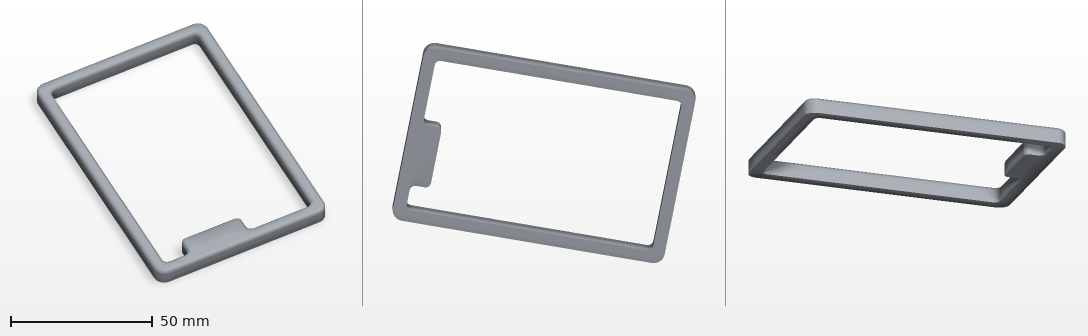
import cadquery as cq

length = 97.6
width = 67.4
height = 6.0
outer_corner_radius = 4.0

window_length = 88.5
window_width = 58.5
window_corner_radius = 2.0

tab_reach = 6.9
tab_width = 23.6
tab_center_y = -7.8
tab_corner_radius = 2.0

top_edge_radius = 1.5


def make_window_cutter():
    """Window volume with the tab left out and its vertical corners rounded."""
    tab_tip_x = window_length / 2 - tab_reach

    window = cq.Workplane("XY").box(window_length, window_width, height, centered=(True, True, False))
    tab = (
        cq.Workplane("XY")
        .center(tab_tip_x, tab_center_y)
        .box(tab_reach, tab_width, height, centered=(False, True, False))
    )
    tab_tip_edges = cq.selectors.BoxSelector(
        (tab_tip_x - tab_corner_radius, tab_center_y - tab_width, 0),
        (tab_tip_x + tab_corner_radius, tab_center_y + tab_width, height),
    )
    cutter = window.cut(tab)
    cutter = cutter.edges("|Z").edges(tab_tip_edges).fillet(tab_corner_radius)
    return cutter.edges("|Z").edges(cq.selectors.InverseSelector(tab_tip_edges)).fillet(window_corner_radius)


frame = (
    cq.Workplane("XY")
    .box(length, width, height, centered=(True, True, False))
    .edges("|Z")
    .fillet(outer_corner_radius)
    .cut(make_window_cutter())
)

result = frame.faces(">Z").edges().fillet(top_edge_radius)